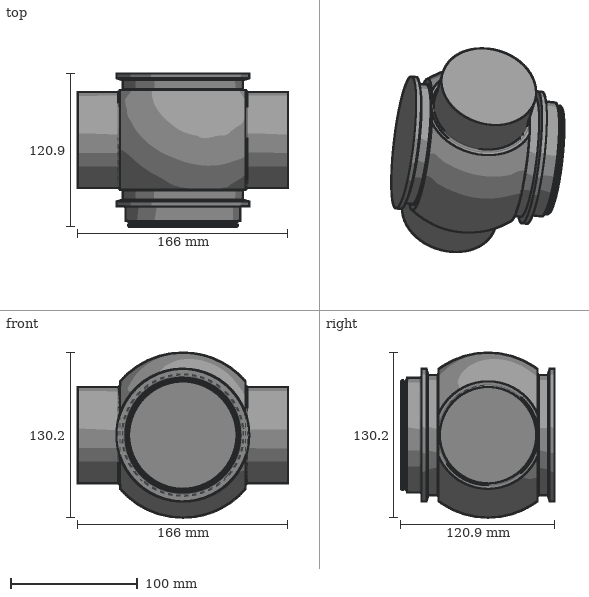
import cadquery as cq

ball_radius = 65.1
ball_half_length = 49.5
ball_half_width = 39.1

pipe_half_length = 83.0
pipe_radius = 38.0
pipe_root_fillet = 1.5

neck_radius = 47.5
neck_root_fillet = 0.8
flange_radius = 52.4
flange_face = 52.4
flange_rim_width = 3.8
flange_bevel_width = 1.5

spigot_radius = 45.3
spigot_root_fillet = 1.0
spigot_shoulder = 63.7
groove_mouth_radius = 44.3
groove_floor_radius = 42.1
groove_floor_start = 65.0
groove_floor_end = 66.2
lip_radius = 43.3
lip_start = 67.0
lip_end = 67.5
spigot_end_radius = 42.3
spigot_end = 68.5


def root_fillet(profile, radius, base, size):
    """Begin a (radius, distance) profile with a concave fillet rising from a flat base."""
    return (
        profile.lineTo(radius + size, base)
        .radiusArc((radius, base + size), size)
    )


def make_ball():
    limits = cq.Workplane("XY").box(2 * ball_half_length, 2 * ball_half_width, 2 * ball_radius)
    return cq.Workplane("XY").sphere(ball_radius).intersect(limits)


def make_pipe():
    """Pipe stub along +X, starting inside the ball."""
    profile = root_fillet(
        cq.Workplane("XY").lineTo(pipe_radius + pipe_root_fillet, 0),
        pipe_radius, ball_half_length, pipe_root_fillet,
    )
    upright = profile.lineTo(pipe_radius, pipe_half_length).lineTo(0, pipe_half_length).close()
    return upright.revolve(360, (0, 0, 0), (0, 1, 0)).rotate((0, 0, 0), (0, 0, 1), -90)


def make_flanged_neck():
    """Neck along +Y, ending in a flange bevelled on its inner side."""
    rim_start = flange_face - flange_rim_width
    profile = root_fillet(
        cq.Workplane("XY").lineTo(neck_radius + neck_root_fillet, 0),
        neck_radius, ball_half_width, neck_root_fillet,
    )
    outline = (
        profile.lineTo(neck_radius, rim_start - flange_bevel_width)
        .lineTo(flange_radius, rim_start)
        .lineTo(flange_radius, flange_face)
        .lineTo(0, flange_face)
        .close()
    )
    return outline.revolve(360, (0, 0, 0), (0, 1, 0))


def make_spigot():
    """Grooved spigot along +Y, standing on the flange face."""
    profile = root_fillet(
        cq.Workplane("XY").moveTo(0, flange_face),
        spigot_radius, flange_face, spigot_root_fillet,
    )
    outline = (
        profile.lineTo(spigot_radius, spigot_shoulder)
        .lineTo(groove_mouth_radius, spigot_shoulder)
        .lineTo(groove_floor_radius, groove_floor_start)
        .lineTo(groove_floor_radius, groove_floor_end)
        .lineTo(lip_radius, lip_start)
        .lineTo(lip_radius, lip_end)
        .lineTo(spigot_end_radius, spigot_end)
        .lineTo(0, spigot_end)
        .close()
    )
    return outline.revolve(360, (0, 0, 0), (0, 1, 0))


pipe = make_pipe()
neck = make_flanged_neck()

result = (
    make_ball()
    .union(pipe)
    .union(pipe.mirror("YZ"))
    .union(neck)
    .union(neck.mirror("XZ"))
    .union(make_spigot().mirror("XZ"))
)